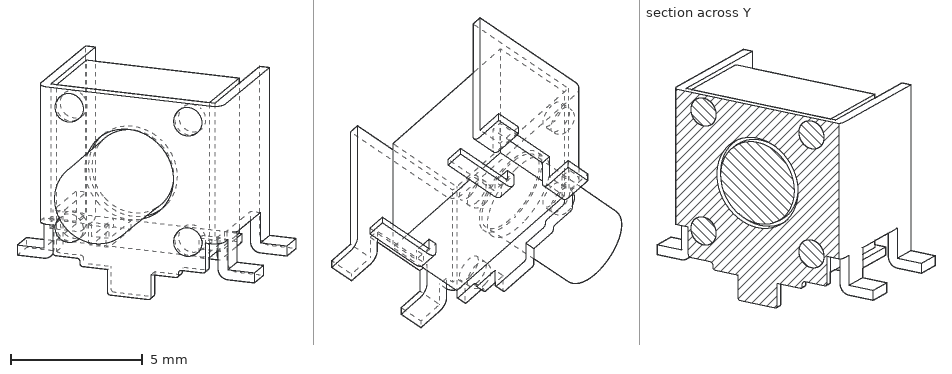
import cadquery as cq


sheet = 0.4
foot_span = 9.6
frame_width = 7.45
frame_depth = 5.2
frame_top = 3.1
wall_bottom = -2.38
foot_bottom = -3.99
foot_width = 1.0
front_foot_y = 0.71
plunger_hole_radius = 1.8

plate_width = 6.18
plate_bottom = foot_bottom + sheet
skirt_width = 3.99
skirt_bottom = -3.9
tab_width = 1.77
tab_bottom = -4.91
corner_radius = 0.12

block_width = plate_width
block_height = block_width
block_back = 3.62
plunger_tip = -3.9
plunger_base_radius = 1.65
plunger_tip_radius = 1.61
plunger_tip_fillet = 0.2

rivet_offset = 2.4
rivet_radius = 0.55
rivet_head = 0.4
rivet_fillet = 0.31

lead_width = 0.72
lead_offset = 2.25
lead_thickness = 0.34
lead_front = 2.52
lead_inner_radius = 0.06

rivet_centres = [
    (side * rivet_offset, level * rivet_offset)
    for side in (-1, 1)
    for level in (-1, 1)
]


def box_between(x0, x1, y0, y1, z0, z1):
    """Axis-aligned box between two opposite corners."""
    return cq.Workplane("XY").box(x1 - x0, y1 - y0, z1 - z0, centered=False).translate((x0, y0, z0))


def front_cylinder(x, z, radius, y_front, y_back):
    """Cylinder along Y between two Y positions."""
    length = y_back - y_front
    return cq.Workplane("XZ", origin=(0, y_back, 0)).center(x, z).circle(radius).extrude(length)


def frame_channel():
    """Front wall and both side walls, bent from one sheet."""
    half = frame_width / 2
    outer = box_between(-half, half, 0, frame_depth, wall_bottom, frame_top)
    outer = outer.edges("|Z and <Y").fillet(sheet)
    inner_half = half - sheet
    return outer.cut(box_between(-inner_half, inner_half, sheet, frame_depth, wall_bottom, frame_top))


def front_plate_skirt():
    """Stepped part of the front plate below the side walls, with its locating tab."""
    plate = plate_width / 2
    skirt = skirt_width / 2
    tab = tab_width / 2
    right_half = [
        (plate, wall_bottom),
        (plate, plate_bottom),
        (skirt, plate_bottom),
        (skirt, skirt_bottom),
        (tab, skirt_bottom),
        (tab, tab_bottom),
    ]
    left_half = [(-x, z) for x, z in reversed(right_half)]
    skirt_solid = cq.Workplane("XZ").polyline(right_half + left_half).close().extrude(-sheet)

    rounded_corners = [
        (plate, plate_bottom),
        (skirt, plate_bottom),
        (skirt, skirt_bottom),
        (tab, tab_bottom),
    ]
    for x, z in rounded_corners:
        for side in (-1, 1):
            corner = cq.selectors.NearestToPointSelector((side * x, sheet / 2, z))
            skirt_solid = skirt_solid.edges("|Y").edges(corner).fillet(corner_radius)
    return skirt_solid


def foot(side, y_front):
    """L-shaped foot bent outward from a side wall."""
    outer_face = frame_width / 2
    inner_face = outer_face - sheet
    foot_top = foot_bottom + sheet
    profile = (
        cq.Workplane("XZ", origin=(0, y_front, 0))
        .moveTo(side * inner_face, wall_bottom)
        .lineTo(side * outer_face, wall_bottom)
        .lineTo(side * outer_face, foot_top)
        .lineTo(side * foot_span / 2, foot_top)
        .lineTo(side * foot_span / 2, foot_bottom)
        .lineTo(side * outer_face, foot_bottom)
        .radiusArc((side * inner_face, foot_top), side * sheet)
        .close()
    )
    return profile.extrude(-foot_width)


def make_frame():
    frame = frame_channel().union(front_plate_skirt())
    for side in (-1, 1):
        for y_front in (front_foot_y, frame_depth - foot_width):
            frame = frame.union(foot(side, y_front))
    frame = frame.cut(front_cylinder(0, 0, plunger_hole_radius, 0, sheet))
    for x, z in rivet_centres:
        frame = frame.cut(front_cylinder(x, z, rivet_radius, 0, sheet))
    return frame


def block():
    half = block_width / 2
    return box_between(-half, half, sheet, block_back, -block_height / 2, block_height / 2)


def plunger():
    """Slightly tapered button with a rounded tip, passing through the frame."""
    profile = (
        cq.Workplane("XY")
        .moveTo(0, sheet)
        .lineTo(plunger_base_radius, sheet)
        .lineTo(plunger_tip_radius, plunger_tip)
        .lineTo(0, plunger_tip)
        .close()
    )
    button = profile.revolve(360, (0, 0, 0), (0, 1, 0))
    return button.faces("<Y").edges().fillet(plunger_tip_fillet)


def rivet(x, z):
    """Stud through the frame with a domed head."""
    return front_cylinder(x, z, rivet_radius, -rivet_head, sheet).faces("<Y").edges().fillet(rivet_fillet)


def lead(x_centre):
    """Lead that drops from the block and bends toward the back."""
    lead_back = lead_front + lead_thickness
    lead_top = foot_bottom + lead_thickness
    x_start = x_centre - lead_width / 2
    outer_radius = lead_inner_radius + lead_thickness
    profile = (
        cq.Workplane("YZ", origin=(x_start, 0, 0))
        .moveTo(lead_front, -block_height / 2)
        .lineTo(lead_front, foot_bottom + outer_radius)
        .radiusArc((lead_front + outer_radius, foot_bottom), -outer_radius)
        .lineTo(frame_depth, foot_bottom)
        .lineTo(frame_depth, lead_top)
        .lineTo(lead_back + lead_inner_radius, lead_top)
        .radiusArc((lead_back, lead_top + lead_inner_radius), lead_inner_radius)
        .lineTo(lead_back, -block_height / 2)
        .close()
    )
    return profile.extrude(lead_width)


def make_switch():
    switch = block().union(plunger())
    for x, z in rivet_centres:
        switch = switch.union(rivet(x, z))
    for side in (-1, 1):
        switch = switch.union(lead(side * lead_offset))
    return switch


frame = make_frame()
switch = make_switch()

result = cq.Compound.makeCompound([frame.solids().val(), switch.solids().val()])